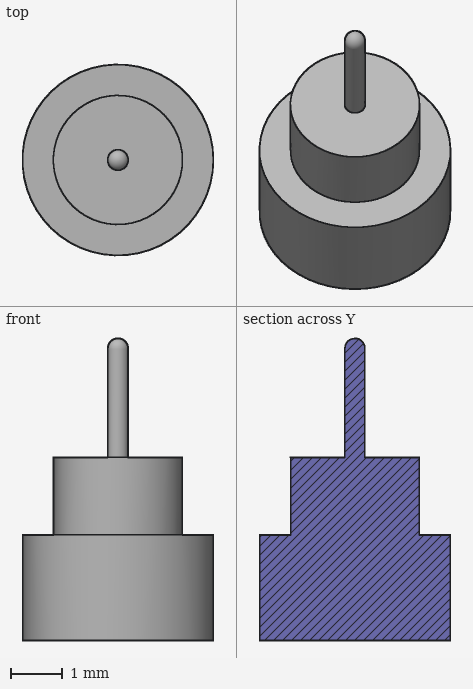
import cadquery as cq

total_height = 5.85
base_diameter = 3.7
base_height = 2.05
collar_diameter = 2.5
collar_height = 1.5
pin_diameter = 0.4

pin_radius = pin_diameter / 2
collar_top = base_height + collar_height
pin_height = total_height - collar_top

base = cq.Workplane("XY").circle(base_diameter / 2).extrude(base_height)
collar = (
    cq.Workplane("XY")
    .workplane(offset=base_height)
    .circle(collar_diameter / 2)
    .extrude(collar_height)
)

pin_shank = (
    cq.Workplane("XY")
    .workplane(offset=collar_top)
    .circle(pin_radius)
    .extrude(pin_height - pin_radius)
)
pin_tip = cq.Workplane("XY").sphere(pin_radius).translate((0, 0, total_height - pin_radius))

result = base.union(collar).union(pin_shank).union(pin_tip)